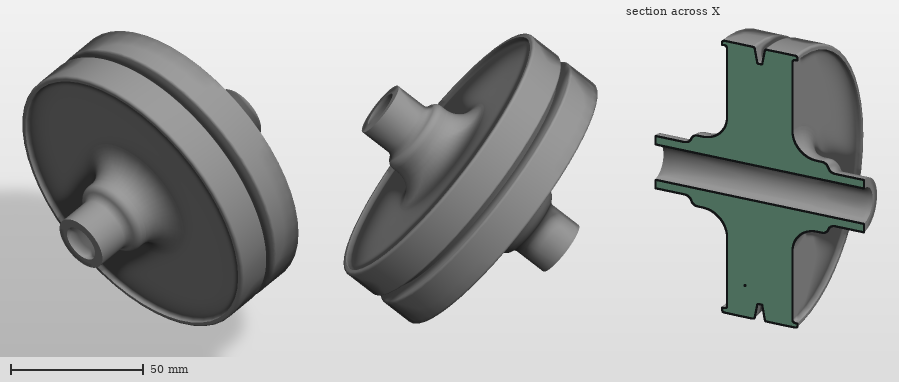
import cadquery as cq

wheel_radius = 56.9
wheel_half_width = 15.9
axle_half_length = 44.0
axle_radius = 11.0
bore_radius = 7.3

rim_width = 2.0
recess_depth = 2.0
edge_radius = 1.0

groove_floor_radius = 50.3
groove_floor_half_width = 0.9
groove_mouth_half_width = 2.2

hub_radius = 14.9
flare_radius = 10.1
hub_cylinder_length = 2.2
hub_step_length = 5.5

match_tolerance = 0.01

recess_radius = wheel_radius - rim_width
recess_floor = wheel_half_width - recess_depth
flare_end = recess_floor + flare_radius
step_start = flare_end + hub_cylinder_length
step_end = step_start + hub_step_length
step_middle = ((hub_radius + axle_radius) / 2, (step_start + step_end) / 2)


def circular_edges(body, radius, position):
    """Return the circular edges of a given radius at +Y and -Y position."""

    def matches(edge):
        same_radius = abs(edge.radius() - radius) < match_tolerance
        same_position = abs(abs(edge.Center().y) - position) < match_tolerance
        return same_radius and same_position

    circles = body.edges("%CIRCLE").vals()
    return body.newObject([edge for edge in circles if matches(edge)])


def make_wheel():
    """Recessed disc with a tapered groove and rounded edges."""
    upper_profile = [
        (groove_floor_radius, groove_floor_half_width),
        (wheel_radius, groove_mouth_half_width),
        (wheel_radius, wheel_half_width),
        (recess_radius, wheel_half_width),
        (recess_radius, recess_floor),
        (0, recess_floor),
    ]
    lower_profile = [(x, -y) for x, y in reversed(upper_profile)]
    outline = cq.Workplane("XY").polyline(lower_profile + upper_profile).close()
    wheel = outline.revolve(360, (0, 0), (0, 1))
    rounded_edges = (
        (wheel_radius, groove_mouth_half_width),
        (wheel_radius, wheel_half_width),
        (recess_radius, recess_floor),
    )
    for radius, position in rounded_edges:
        wheel = circular_edges(wheel, radius, position).fillet(edge_radius)
    return wheel


def make_hub():
    """Flared hub and axle stub on the +Y side."""
    return (
        cq.Workplane("XY")
        .lineTo(hub_radius + flare_radius, 0)
        .lineTo(hub_radius + flare_radius, recess_floor)
        .radiusArc((hub_radius, flare_end), flare_radius)
        .lineTo(hub_radius, step_start)
        .tangentArcPoint(step_middle, relative=False)
        .tangentArcPoint((axle_radius, step_end), relative=False)
        .lineTo(axle_radius, axle_half_length)
        .lineTo(0, axle_half_length)
        .close()
        .revolve(360, (0, 0), (0, 1))
    )


hub = make_hub()
wheel_with_hubs = make_wheel().union(hub).union(hub.mirror("XZ"))
bore = cq.Workplane("XZ").circle(bore_radius).extrude(axle_half_length, both=True)

result = wheel_with_hubs.cut(bore)